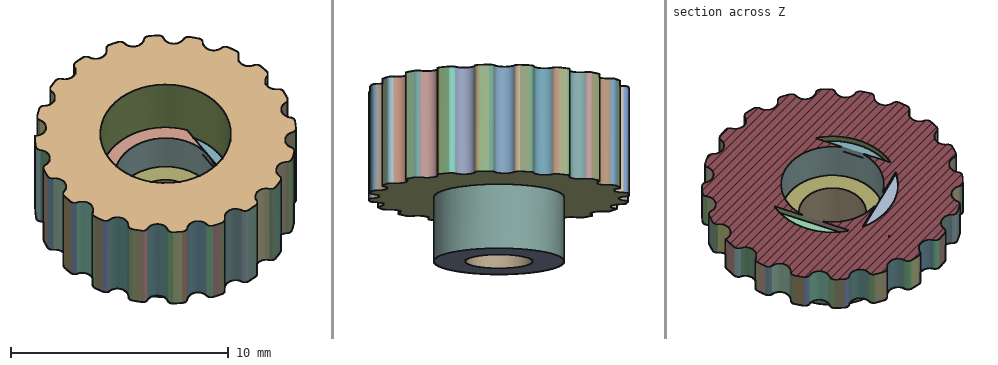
import cadquery as cq
import math

total_height = 8.0
hub_height = 3.0
hub_diameter = 6.0
gear_height = total_height - hub_height

outer_radius = 6.0
groove_count = 20
groove_radius = 0.5
tip_fillet = 0.25
groove_pitch = 360.0 / groove_count

sharp_groove_index = 7
sharp_groove_angle = -sharp_groove_index * groove_pitch
groove_half_angle = math.degrees(2 * math.asin(groove_radius / (2 * outer_radius)))
sharp_corner_angle = math.radians(sharp_groove_angle + groove_half_angle)

pocket_diameter = 6.0
pocket_depth = 3.0
step_bore_diameter = 4.7
step_bore_floor = hub_height
through_diameter = 3.1
pocket_floor = total_height - pocket_depth

flat_distance = step_bore_diameter / 2
side_ledge_drop = 0.2
cross_ledge_drop = 2 * side_ledge_drop


def make_gear():
    """Grooved rim with rounded tooth corners, except for the one sharp corner."""
    rim = cq.Workplane("XY", origin=(0, 0, hub_height)).circle(outer_radius).extrude(gear_height)
    grooves = (
        cq.Workplane("XY", origin=(0, 0, hub_height))
        .polarArray(outer_radius, 0, 360, groove_count)
        .circle(groove_radius)
        .extrude(gear_height)
    )
    rim = rim.cut(grooves)
    sharp_corner = cq.Vector(
        outer_radius * math.cos(sharp_corner_angle),
        outer_radius * math.sin(sharp_corner_angle),
        hub_height + gear_height / 2,
    )

    def is_rounded(edge):
        return (edge.Center() - sharp_corner).Length > groove_radius / 2

    return rim.edges("|Z").filter(is_rounded).fillet(tip_fillet)


def bore(diameter, floor, ceiling):
    """Cylinder on the part axis between two heights."""
    return cq.Workplane("XY", origin=(0, 0, floor)).circle(diameter / 2).extrude(ceiling - floor)


def make_ledge(direction, drop):
    """Circular segment of the pocket beyond one flat, sunk below the pocket floor."""
    segment_height = pocket_diameter / 2 - flat_distance
    block = (
        cq.Workplane("XY", origin=(0, 0, pocket_floor - drop))
        .center(flat_distance + segment_height / 2, 0)
        .rect(segment_height, pocket_diameter)
        .extrude(drop)
        .rotate((0, 0, 0), (0, 0, 1), direction)
    )
    return block.intersect(bore(pocket_diameter, pocket_floor - drop, pocket_floor))


hub = bore(hub_diameter, 0, hub_height)
result = make_gear().union(hub)
result = result.cut(bore(pocket_diameter, pocket_floor, total_height))
result = result.cut(bore(step_bore_diameter, step_bore_floor, pocket_floor))
result = result.cut(bore(through_diameter, 0, step_bore_floor))

result = result.cut(make_ledge(0, side_ledge_drop))
for ledge_direction in (90, -90):
    result = result.cut(make_ledge(ledge_direction, cross_ledge_drop))